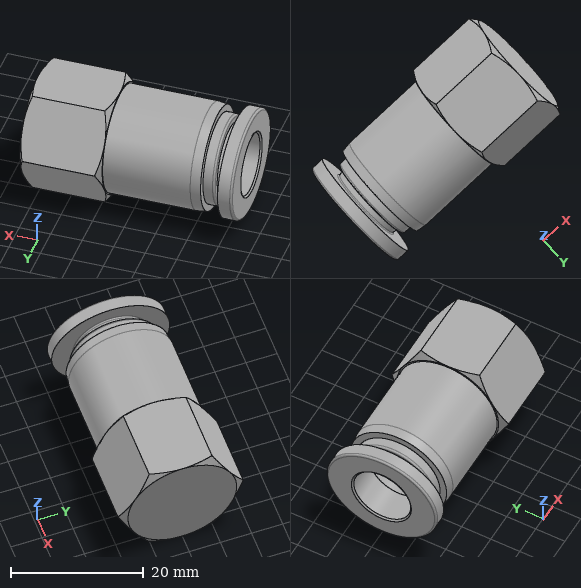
import cadquery as cq
import math

FLANGE_END = 2.27
COLLAR_START = 3.5
COLLAR_END = 5.35
TAPER_END = 6.95
HEX_START = 20.85
TOTAL_LENGTH = 33.9

FLANGE_WIDTH = 19.0
FLANGE_HEIGHT = 16.68
FLANGE_EDGE = 0.35
NECK_DIAMETER = 11.9
NECK_FILLET = 0.2
BORE_DIAMETER = 9.75
MOUTH_CHAMFER = 0.27
SLEEVE_LENGTH = COLLAR_END

COLLAR_DIAMETER = 14.3
COLLAR_EDGE = 0.35
BARREL_DIAMETER = 17.0
TAPER_FRONT_DIAMETER = 16.58
HEX_ACROSS_FLATS = 17.45
HEX_CHAMFER_ANGLE = 30.0
BORE_FLOOR = HEX_START

HEX_ACROSS_CORNERS = HEX_ACROSS_FLATS / math.cos(math.radians(30))
HEX_CHAMFER_HEIGHT = (HEX_ACROSS_CORNERS - HEX_ACROSS_FLATS) / 2
HEX_CHAMFER_LENGTH = HEX_CHAMFER_HEIGHT * math.tan(math.radians(HEX_CHAMFER_ANGLE))


def section_at(x):
    """Workplane across the axis at x, with local x along +Y and local y along +Z."""
    return cq.Workplane("YZ", origin=(x, 0, 0))


def cylinder(start, end, diameter):
    return section_at(start).circle(diameter / 2).extrude(end - start)


def revolve_about_x(points):
    """Turn a closed outline of (x, radius) points around the X axis."""
    return cq.Workplane("XY").polyline(points).close().revolve(360, (0, 0, 0), (1, 0, 0))


def make_sleeve():
    flange = section_at(0).ellipse(FLANGE_WIDTH / 2, FLANGE_HEIGHT / 2).extrude(FLANGE_END)
    flange = flange.faces("<X").edges().fillet(FLANGE_EDGE)
    neck = cylinder(FLANGE_END, SLEEVE_LENGTH, NECK_DIAMETER)
    sleeve = flange.union(neck)
    neck_root = cq.selectors.BoxSelector(
        (FLANGE_END - NECK_FILLET, -NECK_DIAMETER, -NECK_DIAMETER),
        (FLANGE_END + NECK_FILLET, NECK_DIAMETER, NECK_DIAMETER),
    )
    sleeve = sleeve.edges(neck_root).edges("%CIRCLE").fillet(NECK_FILLET)
    sleeve = sleeve.cut(cylinder(0, SLEEVE_LENGTH, BORE_DIAMETER))
    return sleeve.faces("<X").edges("%CIRCLE").chamfer(MOUTH_CHAMFER)


def make_hexagon():
    """Hexagon with flats facing up and down and its corners turned off at both ends."""
    length = TOTAL_LENGTH - HEX_START
    prism = section_at(HEX_START).polygon(6, HEX_ACROSS_CORNERS).extrude(length)
    face_radius = HEX_ACROSS_FLATS / 2
    corner_radius = HEX_ACROSS_CORNERS / 2
    turned_envelope = revolve_about_x([
        (HEX_START, 0),
        (HEX_START, face_radius),
        (HEX_START + HEX_CHAMFER_LENGTH, corner_radius),
        (TOTAL_LENGTH - HEX_CHAMFER_LENGTH, corner_radius),
        (TOTAL_LENGTH, face_radius),
        (TOTAL_LENGTH, 0),
    ])
    return prism.intersect(turned_envelope)


def make_housing():
    collar = cylinder(COLLAR_START, COLLAR_END, COLLAR_DIAMETER)
    collar = collar.faces("<X").edges().fillet(COLLAR_EDGE)
    barrel = revolve_about_x([
        (COLLAR_END, 0),
        (COLLAR_END, TAPER_FRONT_DIAMETER / 2),
        (TAPER_END, BARREL_DIAMETER / 2),
        (HEX_START, BARREL_DIAMETER / 2),
        (HEX_START, 0),
    ])
    housing = collar.union(barrel).union(make_hexagon())
    sleeve_seat = cylinder(COLLAR_START, SLEEVE_LENGTH, NECK_DIAMETER)
    bore = cylinder(SLEEVE_LENGTH, BORE_FLOOR, BORE_DIAMETER)
    return housing.cut(sleeve_seat).cut(bore)


release_sleeve = make_sleeve()
housing = make_housing()

result = cq.Compound.makeCompound([release_sleeve.val(), housing.val()])